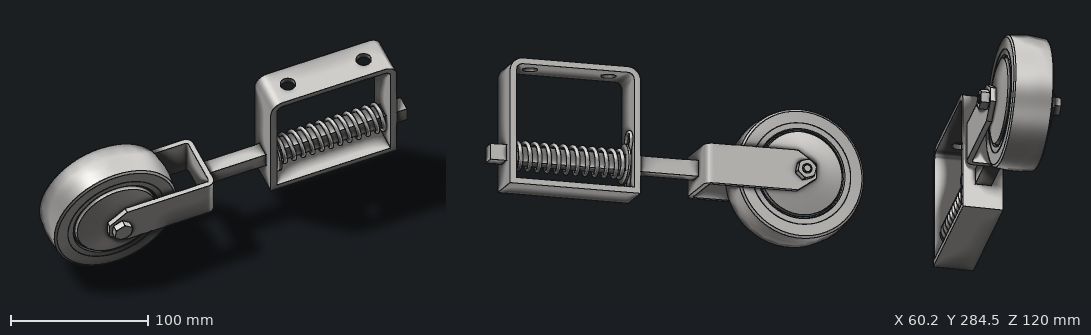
import cadquery as cq
import math


wheel_radius = 50.0
wheel_half_width = 15.0
shoulder_radius = 48.6
shoulder_half_width = 13.9
side_face_radius = 46.8
hub_face_radius = 38.2
hub_face_setback = 0.3
groove_outer_radius = 33.9
groove_inner_radius = 31.3
groove_wall_slope = 0.8
groove_depth = 1.5
dome_rim_half_width = 16.0

bolt_diameter = 7.0
bolt_tip_chamfer = 0.9
bolt_tip_overhang = 0.4
head_height = 5.3
nut_height = 6.5
hex_across_flats = 13.0
hex_corner_chamfer = 0.5
head_turn = 38.0
nut_turn = 17.0

fork_gap = 40.0
fork_thickness = 4.0
fork_height = 30.0
fork_back_y = 75.5
fork_tip_y = -9.0
fork_bend_radius = 6.0
fork_tip_height = 11.0
fork_taper_length = 14.0
bar_side = 12.0
bar_end_y = 234.5

frame_front_y = 122.5
frame_length = 100.0
frame_width = 30.0
frame_top_z = 70.0
frame_bottom_z = -25.0
frame_end_wall = 5.0
frame_flat_wall = 4.5
frame_bend_radius = 10.0
frame_inner_bend_radius = 5.0
mount_hole_diameter = 11.0
mount_hole_spacing = 60.0

clip_wire_diameter = 2.5
clip_loop_radius = 5.9
clip_loop_z = 16.9
clip_bottom_z = -19.5
clip_slant_angle = 25.0
clip_corner_radius = 6.0
clip_tail_radius = 23.0
clip_tail_angle = 22.0
washer_diameter = 30.0
washer_thickness = 1.5
spring_wire_diameter = 3.0
spring_mean_radius = 10.0
spring_turns = 12.5
spring_end_pitch = 3.1
spring_points_per_turn = 12

fork_half_outer = fork_gap / 2 + fork_thickness
frame_middle_y = frame_front_y + frame_length / 2
clip_y = frame_front_y + frame_end_wall + clip_wire_diameter / 2
washer_front_y = clip_y + clip_wire_diameter / 2
spring_front_y = washer_front_y + washer_thickness
spring_back_y = frame_front_y + frame_length - frame_end_wall


def box_between(x0, x1, y0, y1, z0, z1):
    """Box between two opposite corners."""
    return cq.Workplane("XY").box(x1 - x0, y1 - y0, z1 - z0, centered=False).translate((x0, y0, z0))


def centred_bar(side, y0, y1):
    """Square bar along Y, centred on the Y axis."""
    return box_between(-side / 2, side / 2, y0, y1, -side / 2, side / 2)


def axle_cylinder(diameter, x0, x1):
    """Cylinder on the wheel axis from x0 to x1."""
    return cq.Workplane("YZ").workplane(offset=x0).circle(diameter / 2).extrude(x1 - x0)


def hexagon(x0, x1, turn):
    """Hexagonal prism on the wheel axis, one corner turned up from -Y, and the cylinder around it."""
    across_corners = hex_across_flats / math.cos(math.radians(30))
    prism = cq.Workplane("YZ").polygon(6, across_corners).extrude(x1 - x0)
    prism = prism.rotate((0, 0, 0), (1, 0, 0), 180 - turn)
    return prism.translate((x0, 0, 0)), axle_cylinder(across_corners, x0, x1)


def make_wheel():
    rim_x = dome_rim_half_width
    hub_x = wheel_half_width - hub_face_setback
    groove_x = hub_x - groove_depth
    dome_x = fork_gap / 2
    dome_rise = dome_x - rim_x
    sphere_radius = (groove_inner_radius**2 + dome_rise**2) / (2 * dome_rise)
    dome_mid_radius = groove_inner_radius / 2
    dome_mid_x = dome_x - sphere_radius + math.sqrt(sphere_radius**2 - dome_mid_radius**2)
    bore_radius = bolt_diameter / 2
    bore_mouth_x = dome_x - sphere_radius + math.sqrt(sphere_radius**2 - bore_radius**2)
    side_outline = [
        (shoulder_half_width, shoulder_radius),
        (wheel_half_width, side_face_radius),
        (wheel_half_width, hub_face_radius),
        (hub_x, hub_face_radius),
        (hub_x, groove_outer_radius),
        (groove_x, groove_outer_radius - groove_wall_slope),
        (groove_x, groove_inner_radius + groove_wall_slope),
        (rim_x, groove_inner_radius),
    ]
    opposite_outline = [(-x, radius) for x, radius in reversed(side_outline)]
    return (
        cq.Workplane("XZ")
        .moveTo(-shoulder_half_width, shoulder_radius)
        .threePointArc((0, wheel_radius), side_outline[0])
        .polyline(side_outline[1:], includeCurrent=True)
        .threePointArc((dome_mid_x, dome_mid_radius), (bore_mouth_x, bore_radius))
        .lineTo(-bore_mouth_x, bore_radius)
        .threePointArc((-dome_mid_x, dome_mid_radius), opposite_outline[0])
        .polyline(opposite_outline[1:], includeCurrent=True)
        .close()
        .revolve(360, (0, 0, 0), (1, 0, 0))
    )


def make_nut():
    prism, envelope = hexagon(-fork_half_outer - nut_height, -fork_half_outer, nut_turn)
    nut = prism.intersect(envelope.edges().chamfer(hex_corner_chamfer))
    return nut.cut(axle_cylinder(bolt_diameter, -fork_half_outer - nut_height, -fork_half_outer))


def make_bolt():
    tip_x = -fork_half_outer - nut_height - bolt_tip_overhang
    shank = axle_cylinder(bolt_diameter, tip_x, fork_half_outer)
    shank = shank.faces("<X").edges().chamfer(bolt_tip_chamfer)
    prism, envelope = hexagon(fork_half_outer, fork_half_outer + head_height, head_turn)
    head = prism.intersect(envelope.faces(">X").edges().chamfer(hex_corner_chamfer))
    return shank.union(head)


def make_arm():
    half_height = fork_height / 2
    outside = box_between(
        -fork_half_outer, fork_half_outer, fork_tip_y, fork_back_y, -half_height, half_height
    )
    outside = outside.edges("|Z and >Y").fillet(fork_bend_radius)
    inside = box_between(
        -fork_gap / 2, fork_gap / 2, fork_tip_y, fork_back_y - fork_thickness,
        -half_height, half_height,
    )
    inside = inside.edges("|Z and >Y").fillet(fork_bend_radius - fork_thickness)
    taper_outline = (
        cq.Workplane("YZ")
        .moveTo(fork_back_y, half_height)
        .lineTo(fork_tip_y + fork_taper_length, half_height)
        .lineTo(fork_tip_y, fork_tip_height / 2)
        .lineTo(fork_tip_y, -fork_tip_height / 2)
        .lineTo(fork_tip_y + fork_taper_length, -half_height)
        .lineTo(fork_back_y, -half_height)
        .close()
        .extrude(fork_half_outer, both=True)
    )
    fork = outside.cut(inside).intersect(taper_outline)
    fork = fork.cut(axle_cylinder(bolt_diameter, -fork_half_outer, fork_half_outer))
    clip_hole = (
        cq.Workplane("XY")
        .center(0, clip_y)
        .circle(clip_wire_diameter / 2)
        .extrude(bar_side, both=True)
    )
    bar = centred_bar(bar_side, fork_back_y, bar_end_y).cut(clip_hole)
    return fork.union(bar)


def make_frame():
    half_width = frame_width / 2
    back_y = frame_front_y + frame_length
    outside = box_between(
        -half_width, half_width, frame_front_y, back_y, frame_bottom_z, frame_top_z
    )
    outside = outside.edges("|X and >Z").fillet(frame_bend_radius)
    inside = box_between(
        -half_width, half_width, frame_front_y + frame_end_wall, back_y - frame_end_wall,
        frame_bottom_z + frame_flat_wall, frame_top_z - frame_flat_wall,
    )
    inside = inside.edges("|X and >Z").fillet(frame_inner_bend_radius)
    mount_holes = (
        cq.Workplane("XY")
        .workplane(offset=frame_top_z)
        .center(0, frame_middle_y)
        .rarray(1, mount_hole_spacing, 1, 2)
        .circle(mount_hole_diameter / 2)
        .extrude(-frame_flat_wall)
    )
    bar_hole = centred_bar(bar_side, frame_front_y, back_y)
    return outside.cut(inside).cut(mount_holes).cut(bar_hole)


def make_clip():
    slant = math.radians(clip_slant_angle)
    hug_x = -(bar_side + clip_wire_diameter) / 2
    loop_end_x = -clip_loop_radius * (1 + math.cos(slant))
    loop_end_z = clip_loop_z - clip_loop_radius * math.sin(slant)
    corner_z = loop_end_z - (hug_x - loop_end_x) / math.tan(slant)
    corner_setback = clip_corner_radius * math.tan(slant / 2)
    corner_start = (
        hug_x - corner_setback * math.sin(slant),
        corner_z + corner_setback * math.cos(slant),
    )
    curl = math.radians(clip_tail_angle)
    curl_start_z = -bar_side / 2
    curl_end = (
        hug_x + clip_tail_radius * (1 - math.cos(curl)),
        curl_start_z - clip_tail_radius * math.sin(curl),
    )
    tail_end = (curl_end[0] + (curl_end[1] - clip_bottom_z) * math.tan(curl), clip_bottom_z)
    path = (
        cq.Workplane("XZ", origin=(0, clip_y, 0))
        .moveTo(0, clip_bottom_z)
        .lineTo(0, clip_loop_z)
        .threePointArc(
            (-clip_loop_radius, clip_loop_z + clip_loop_radius), (loop_end_x, loop_end_z)
        )
        .lineTo(*corner_start)
        .tangentArcPoint((hug_x, corner_z - corner_setback), relative=False)
        .lineTo(hug_x, curl_start_z)
        .tangentArcPoint(curl_end, relative=False)
        .lineTo(*tail_end)
    )
    wire_section = cq.Workplane("XY", origin=(0, clip_y, clip_bottom_z)).circle(clip_wire_diameter / 2)
    return wire_section.sweep(path)


def make_washer():
    blank = (
        cq.Workplane("XZ", origin=(0, washer_front_y, 0))
        .circle(washer_diameter / 2)
        .extrude(-washer_thickness)
    )
    return blank.cut(centred_bar(bar_side, washer_front_y, spring_front_y))


def make_spring():
    start_y = spring_back_y - spring_wire_diameter / 2
    travel = spring_back_y - spring_front_y - spring_wire_diameter
    open_pitch = (travel - 2 * spring_end_pitch) / (spring_turns - 2)

    def advance(turn):
        """Distance run along the axis: one closed turn, the open turns, one closed turn."""
        first_turn = min(turn, 1)
        last_turn = max(turn - (spring_turns - 1), 0)
        return spring_end_pitch * (first_turn + last_turn) + open_pitch * (turn - first_turn - last_turn)

    def coil_point(turn):
        angle = math.pi + 2 * math.pi * turn
        return cq.Vector(
            spring_mean_radius * math.cos(angle),
            start_y - advance(turn),
            spring_mean_radius * math.sin(angle),
        )

    steps = int(spring_turns * spring_points_per_turn)
    coil = cq.Edge.makeSpline([coil_point(i / spring_points_per_turn) for i in range(steps + 1)])
    section = cq.Workplane(cq.Plane(coil.startPoint(), (1, 0, 0), coil.tangentAt(0)))
    return section.circle(spring_wire_diameter / 2).sweep(cq.Workplane(coil), isFrenet=True)


frame = make_frame()
arm = make_arm()
spring = make_spring()
washer = make_washer()
clip = make_clip()
wheel = make_wheel()
bolt = make_bolt()
nut = make_nut()

bodies = [frame, arm, spring, washer, clip, wheel, bolt, nut]
result = cq.Compound.makeCompound([body.solids().val() for body in bodies])